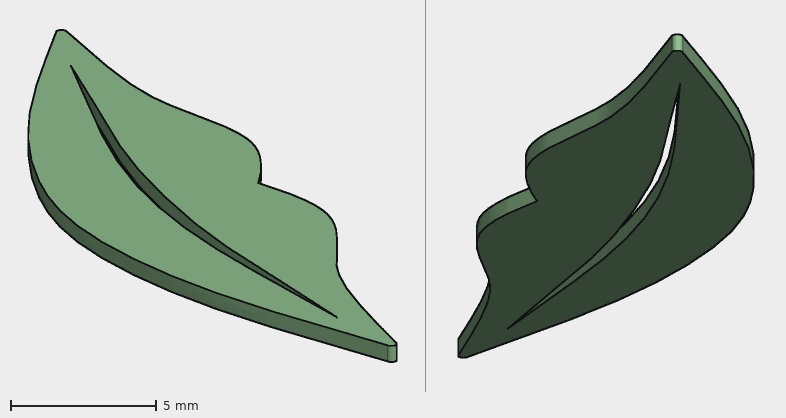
import cadquery as cq

length = 30.2
height = 8.4
thickness = 0.6

half_length = length / 2
half_height = height / 2

tip_y = 1.9
tip_top = (half_length - 0.18, 2.05)
tip_bottom = (half_length - 0.12, 1.7)

notch_y = 3.05
crest_x = 3.32
shoulder_points = [(5.45, 3.75), (8.0, 2.7), (10.9, 2.2)]
inner_crest_point = (1.5, 3.78)

lower_lip_points = [(11.63, -0.3), (8.0, -2.2), (4.38, -3.53)]

mouth_half_length = 12.02
mouth_corner_y = 1.03
mouth_top_points = [(7.28, 0.27), (3.62, -0.25)]
mouth_top_y = -0.4
mouth_bottom_points = [(7.28, -0.03), (3.62, -0.7)]
mouth_bottom_y = -0.95


def mirror(point):
    """Reflect a point across the YZ plane."""
    return (-point[0], point[1])


def symmetric_curve(side_points, centre_y):
    """Points of a curve running from -X to +X, given its +X side from outside to centre."""
    left = [mirror(point) for point in side_points]
    return left + [(0, centre_y)] + side_points[::-1]


def make_lips():
    notch = (0, notch_y)
    right_upper = [inner_crest_point, (crest_x, half_height)] + shoulder_points + [tip_top]
    left_upper = [mirror(point) for point in right_upper[::-1]] + [notch]
    lower = symmetric_curve([tip_bottom] + lower_lip_points, -half_height)
    return (
        cq.Workplane("XY")
        .moveTo(*notch)
        .spline(right_upper, includeCurrent=True)
        .threePointArc((half_length, tip_y), tip_bottom)
        .spline(lower[-2::-1], includeCurrent=True)
        .threePointArc((-half_length, tip_y), mirror(tip_top))
        .spline(left_upper[1:], includeCurrent=True)
        .close()
        .extrude(thickness)
    )


def make_mouth_opening():
    corner = (mouth_half_length, mouth_corner_y)
    top = symmetric_curve([corner] + mouth_top_points, mouth_top_y)
    bottom = symmetric_curve([corner] + mouth_bottom_points, mouth_bottom_y)
    return (
        cq.Workplane("XY")
        .moveTo(*mirror(corner))
        .spline(top[1:], includeCurrent=True)
        .spline(bottom[-2::-1], includeCurrent=True)
        .close()
        .extrude(thickness)
    )


result = make_lips().cut(make_mouth_opening())